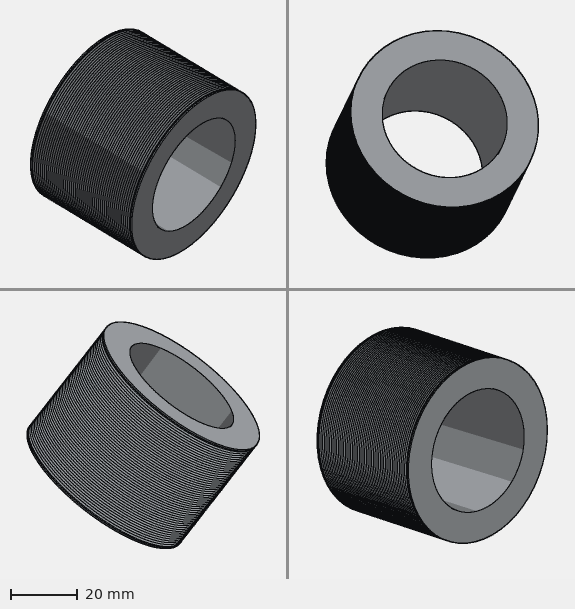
import cadquery as cq

length = 39.9
outer_radius = 28.6
bore_radius = 19.05
end_thickness = 0.5
ridge_count = 51
groove_depth = 7.0

half_length = length / 2
flange_inner_face = half_length - end_thickness
ridge_pitch = 2 * flange_inner_face / ridge_count
root_radius = outer_radius - groove_depth


def ridge_points():
    """Crest and following root of every ridge, from the -X flange to the +X flange."""
    points = []
    for ridge in range(ridge_count):
        start = -flange_inner_face + ridge * ridge_pitch
        points.append((start + ridge_pitch / 2, outer_radius))
        points.append((start + ridge_pitch, root_radius))
    return points


def half_section():
    """Closed half section, with X along the axis and Y as the radius."""
    first_flange = [
        (-half_length, bore_radius),
        (-half_length, outer_radius),
        (-flange_inner_face, outer_radius),
        (-flange_inner_face, root_radius),
    ]
    last_flange = [
        (flange_inner_face, outer_radius),
        (half_length, outer_radius),
        (half_length, bore_radius),
    ]
    outline = first_flange + ridge_points() + last_flange
    return cq.Workplane("XY").polyline(outline).close()


result = half_section().revolve(360, (0, 0, 0), (1, 0, 0))